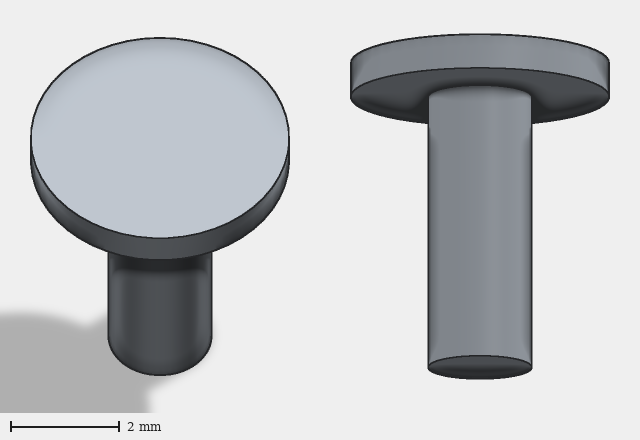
import cadquery as cq

total_height = 5.74
head_diameter = 4.75
head_thickness = 0.64
shank_diameter = 1.905

shank_length = total_height - head_thickness


def make_shank():
    """Plain round shank standing on the XY plane, ending under the head."""
    return cq.Workplane("XY").circle(shank_diameter / 2).extrude(shank_length)


def make_head():
    """Flat round head resting on the top face of the shank."""
    return (
        cq.Workplane("XY")
        .workplane(offset=shank_length)
        .circle(head_diameter / 2)
        .extrude(head_thickness)
    )


shank = make_shank()
head = make_head()

result = cq.Compound.makeCompound([shank.val(), head.val()])